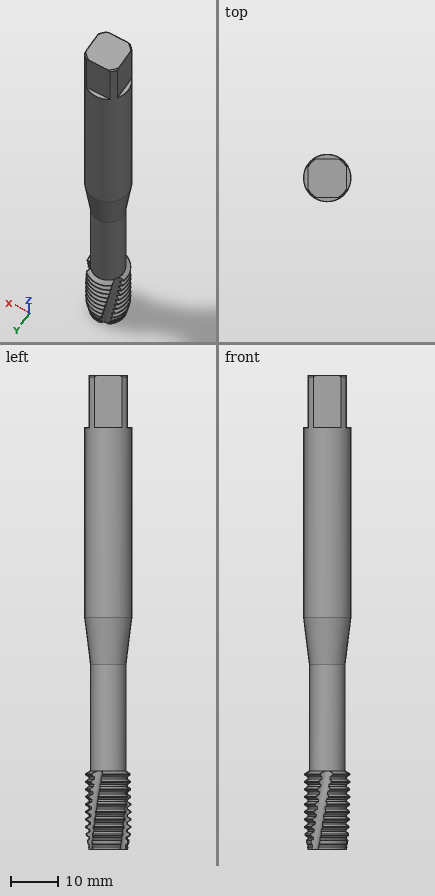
import cadquery as cq
import math


total_length = 100.0
shank_diameter = 10.0

square_width = 8.1
square_length = 11.0
top_chamfer = 0.3

neck_diameter = 7.5
taper_bottom = 39.0
taper_height = 10.0

head_length = 16.6
thread_diameter = 9.5
root_diameter = 8.1
thread_pitch = 12.7 / 8
ridge_count = 11
crest_width = thread_pitch / 8
root_width = thread_pitch / 4
top_ridge_drop = 0.7
lead_diameter = 8.1
lead_height = 3.7

flute_count = 3
flute_radius = 1.5
flute_centre_radius = 5.2
flute_top_angle = 270.0
flute_twist = 40.0


def make_shank():
    """Neck, taper and round shank in one turned piece, with a square at the top."""
    neck_radius = neck_diameter / 2
    shank_radius = shank_diameter / 2
    shank = (
        cq.Workplane("XZ")
        .moveTo(0, head_length)
        .lineTo(neck_radius, head_length)
        .lineTo(neck_radius, taper_bottom)
        .lineTo(shank_radius, taper_bottom + taper_height)
        .lineTo(shank_radius, total_length - top_chamfer)
        .lineTo(shank_radius - top_chamfer, total_length)
        .lineTo(0, total_length)
        .close()
        .revolve(360, (0, 0, 0), (0, 1, 0))
    )
    square_waste = (
        cq.Workplane("XY")
        .workplane(offset=total_length - square_length)
        .circle(shank_diameter)
        .rect(square_width, square_width)
        .extrude(square_length)
    )
    return shank.cut(square_waste)


def make_threaded_blank():
    """Turned head with ring-shaped thread ridges, tapered at its lower end."""
    root_radius = root_diameter / 2
    crest_radius = thread_diameter / 2
    ridge_foot = thread_pitch - root_width
    ridges_bottom = head_length - top_ridge_drop - ridge_count * thread_pitch

    profile = cq.Workplane("XZ").moveTo(0, head_length).lineTo(neck_diameter / 2, head_length)
    for ridge in range(ridge_count):
        middle = head_length - top_ridge_drop - ridge * thread_pitch
        if ridge > 0:
            profile = profile.lineTo(root_radius, middle + ridge_foot / 2)
        profile = (
            profile
            .lineTo(crest_radius, middle + crest_width / 2)
            .lineTo(crest_radius, middle - crest_width / 2)
            .lineTo(root_radius, middle - ridge_foot / 2)
        )
    ridged = (
        profile
        .lineTo(root_radius, ridges_bottom)
        .lineTo(0, ridges_bottom)
        .close()
        .revolve(360, (0, 0, 0), (0, 1, 0))
    )
    envelope = (
        cq.Workplane("XZ")
        .lineTo(lead_diameter / 2, 0)
        .lineTo(crest_radius, lead_height)
        .lineTo(crest_radius, head_length)
        .lineTo(0, head_length)
        .close()
        .revolve(360, (0, 0, 0), (0, 1, 0))
    )
    return ridged.intersect(envelope)


def make_flute_cutter(top_angle):
    """Round bar that winds upward around the axis and ends at the given angle."""
    start_angle = math.radians(top_angle - flute_twist)
    start_x = flute_centre_radius * math.cos(start_angle)
    start_y = flute_centre_radius * math.sin(start_angle)
    return (
        cq.Workplane("XY")
        .moveTo(start_x, start_y)
        .circle(flute_radius)
        .twistExtrude(head_length, flute_twist)
    )


def make_cutting_head():
    """Threaded head with its helical flutes."""
    head = make_threaded_blank()
    for flute in range(flute_count):
        top_angle = flute_top_angle + flute * 360 / flute_count
        head = head.cut(make_flute_cutter(top_angle))
    return head


shank = make_shank()
cutting_head = make_cutting_head()

result = cq.Compound.makeCompound([shank.val(), cutting_head.val()])